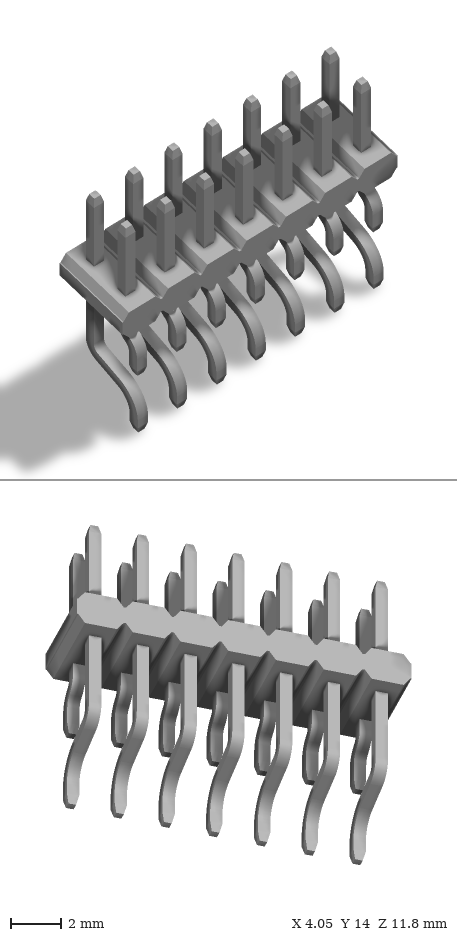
import cadquery as cq
import math


bar_length = 14.0
positions = 7
pitch = bar_length / positions
bar_width = 2 * pitch
bar_height = 1.51
cell_length = 1.9
cell_top_length = 1.35
web_height = 0.75

pin_size = 0.52
pin_rise = 3.99
tip_size = 0.32
tip_length = 0.4
upper_bend_radius = 0.59

long_tail_depth = 6.25
long_tail_reach = 4.05
long_bend_start = 3.26
long_slant_angle = 12.0
long_lower_radius = 1.26

short_tail_depth = 2.83
short_bend_start = 0.46
short_slant_angle = 29.0
short_lower_radius = 0.7

row_x = pitch / 2
long_tail_x = -bar_width / 2 + long_tail_reach - pin_size / 2
short_tail_x = bar_width / 2 - pin_size / 2
pin_top = bar_height + pin_rise


def pin_rows():
    """Y position of every pin pair."""
    return [(i - (positions - 1) / 2) * pitch for i in range(positions)]


def make_bar():
    """Octagonal cells, one per pin pair, on a continuous web."""
    web = cq.Workplane("XY").box(bar_width, bar_length, web_height)
    octagon = [
        (cell_length / 2, web_height / 2),
        (cell_top_length / 2, bar_height / 2),
        (-cell_top_length / 2, bar_height / 2),
        (-cell_length / 2, web_height / 2),
        (-cell_length / 2, -web_height / 2),
        (-cell_top_length / 2, -bar_height / 2),
        (cell_top_length / 2, -bar_height / 2),
        (cell_length / 2, -web_height / 2),
    ]
    cell = cq.Workplane("YZ").polyline(octagon).close().extrude(bar_width / 2, both=True)
    bar = web
    for y in pin_rows():
        bar = bar.union(cell.translate((0, y, 0)))
    return bar.translate((0, 0, bar_height / 2))


def make_tip(x, z_base, direction):
    """Tapered pin end; direction is +1 for up and -1 for down."""
    return (
        cq.Workplane("XY", origin=(x, 0, z_base))
        .rect(pin_size, pin_size)
        .workplane(offset=direction * tip_length)
        .rect(tip_size, tip_size)
        .loft(ruled=True)
    )


def make_pin(x_top, x_tail, tail_depth, bend_start, slant_angle, lower_radius):
    """Square pin that runs down, slants across to x_tail and runs down again."""
    slant = math.radians(slant_angle)
    turn = math.pi / 2 - slant
    corner_z = -bend_start - upper_bend_radius * math.tan(turn / 2)
    lower_corner_z = corner_z - (x_tail - x_top) * math.tan(slant)
    bend_end_z = lower_corner_z - lower_radius * math.tan(turn / 2)

    def upper_arc(angle):
        centre_x = x_top + upper_bend_radius
        x = centre_x - upper_bend_radius * math.cos(angle)
        z = -bend_start - upper_bend_radius * math.sin(angle)
        return (x, z)

    def lower_arc(angle):
        centre_x = x_tail - lower_radius
        x = centre_x + lower_radius * math.cos(angle)
        z = bend_end_z + lower_radius * math.sin(angle)
        return (x, z)

    top_shoulder = pin_top - tip_length
    tail_shoulder = -tail_depth + tip_length
    centreline = (
        cq.Workplane("XZ")
        .moveTo(x_top, top_shoulder)
        .lineTo(x_top, -bend_start)
        .threePointArc(upper_arc(turn / 2), upper_arc(turn))
        .lineTo(*lower_arc(turn))
        .threePointArc(lower_arc(turn / 2), (x_tail, bend_end_z))
        .lineTo(x_tail, tail_shoulder)
    )
    shank = (
        cq.Workplane("XY", origin=(x_top, 0, top_shoulder))
        .rect(pin_size, pin_size)
        .sweep(centreline)
    )
    return shank.union(make_tip(x_top, top_shoulder, 1)).union(make_tip(x_tail, tail_shoulder, -1))


long_pin = make_pin(
    -row_x, long_tail_x, long_tail_depth, long_bend_start, long_slant_angle, long_lower_radius
)
short_pin = make_pin(
    row_x, short_tail_x, short_tail_depth, short_bend_start, short_slant_angle, short_lower_radius
)

result = make_bar()
for y in pin_rows():
    result = result.union(long_pin.translate((0, y, 0)))
    result = result.union(short_pin.translate((0, y, 0)))